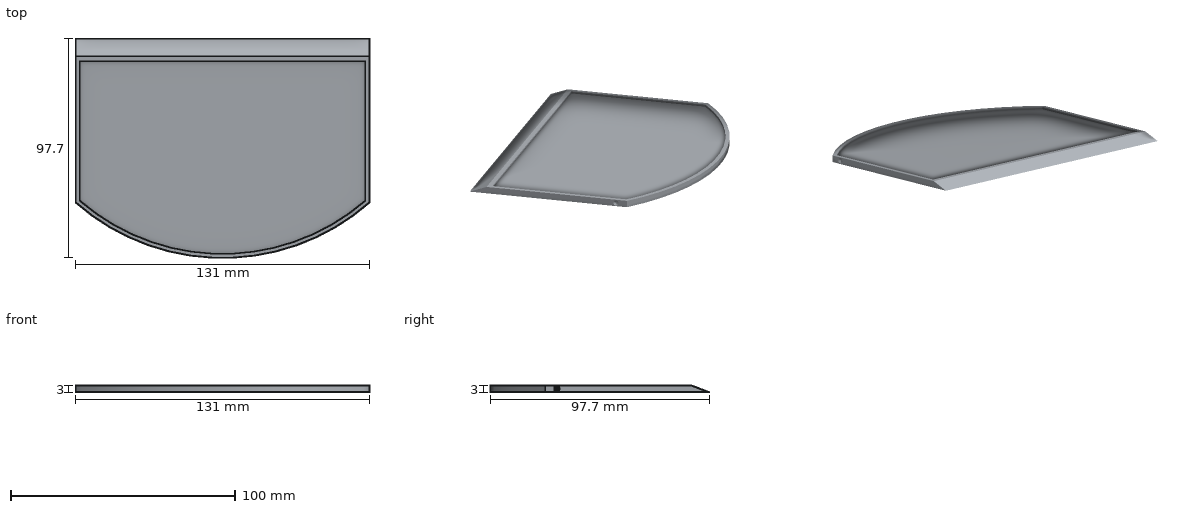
import cadquery as cq
import math

width = 131.0
length = 97.7
thickness = 3.0
bow_height = 24.8
bevel_run = 7.9

side_rim = 1.8
back_rim = 2.2
pocket_depth = 1.0

dimple_diameter = 2.5
dimple_floor_diameter = 0.8
dimple_depth = 0.7
dimple_setback = 5.1

half_width = width / 2
back_y = length / 2
front_y = -length / 2
corner_y = front_y + bow_height
bow_radius = (half_width**2 + bow_height**2) / (2 * bow_height)
bow_center_y = front_y + bow_radius


def bowed_prism(half_span, y_back, radius, height):
    """Straight back and sides, with a front arc about the shared bow centre."""
    y_corner = bow_center_y - math.sqrt(radius**2 - half_span**2)
    return (
        cq.Workplane("XY")
        .moveTo(-half_span, y_back)
        .lineTo(half_span, y_back)
        .lineTo(half_span, y_corner)
        .threePointArc((0, bow_center_y - radius), (-half_span, y_corner))
        .close()
        .extrude(height)
    )


def back_bevel():
    """Triangular wedge removed along the top of the back edge."""
    return (
        cq.Workplane("YZ")
        .moveTo(back_y, 0)
        .lineTo(back_y, thickness)
        .lineTo(back_y - bevel_run, thickness)
        .close()
        .extrude(half_width, both=True)
    )


def side_dimple(side):
    """Tapered recess, widest at the given side face, with a small flat floor."""
    mouth = cq.Vector(side * half_width, corner_y + dimple_setback, thickness / 2)
    inward = cq.Vector(-side, 0, 0)
    return cq.Solid.makeCone(
        dimple_diameter / 2, dimple_floor_diameter / 2, dimple_depth, mouth, inward
    )


plate = bowed_prism(half_width, back_y, bow_radius, thickness).cut(back_bevel())

pocket = bowed_prism(
    half_width - side_rim,
    back_y - bevel_run - back_rim,
    bow_radius - side_rim,
    pocket_depth,
).translate((0, 0, thickness - pocket_depth))

result = plate.cut(pocket)
for side in (-1, 1):
    result = result.cut(cq.Workplane(obj=side_dimple(side)))